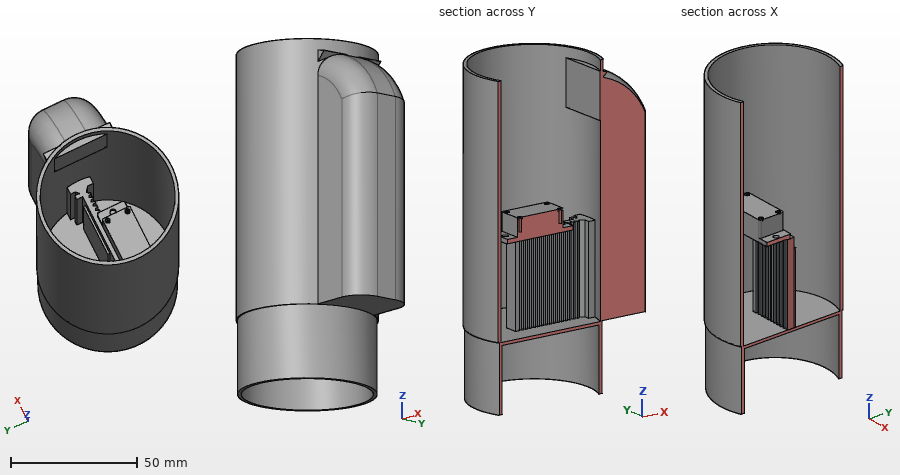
import cadquery as cq

WALL = 1.5
TUBE_R = 56.3 / 2
BORE_R = TUBE_R - WALL
SPIGOT_R = 55.3 / 2
SPIGOT_BORE_R = SPIGOT_R - WALL
SHOULDER_Z = 30.0
TOTAL_H = 138.0
TOTAL_L = 77.0

BOX_W = 29.2
BOX_HALF_W = BOX_W / 2
BOX_ROUND = 10.0
BOX_END_X = TOTAL_L - TUBE_R
BOX_START_X = 24.0
BOX_TOP_Z = 133.4
HOOD_END_Z = 112.8
HOOD_MID = (38.2, 126.75)
PLUG_BOTTOM_Z = 113.0
COLLAR_X = 28.0
COLLAR_TOP_Z = 132.6

PROFILE_H = 40.0
PROFILE_LEFT_X = -10.85
WEB_TOP_Y = 1.15
WEB_BOTTOM_Y = -1.05
POST_W = 1.75
POST_TOP_Y = 3.75
RIGHT_POST_X = 20.05
NECK_TOP_Y = 1.6
FLANGE_X = 23.1
FLANGE_HALF_W = 5.0
GUSSET_TOP_Y = 2.9
GUSSET_START_X = 21.35
GUSSET_END_Y = -2.55
FIN_TIP_Y = -2.4
FIN_PITCH = 1.96
FIN_GAP = 1.06
FIN_COUNT = 16
LAST_FIN_X = 19.9

STRIP_LEFT_X = -4.3
STRIP_L = 21.75
STRIP_T = 0.9
STRIP_H = 35.0

MODULE_X = -5.15
MODULE_Y = -6.65
MODULE_L = 32.25
MODULE_W = 12.15
MODULE_CORNER_R = 1.0
PLATE_T = 2.0
COVER_L = 22.55
COVER_H = 8.0
COVER_CORNER_R = 0.6
MOUNT_HOLE_D = 2.4
MOUNT_HOLE_SPACING = 27.8

SCREW_SPACING_X = 19.6
SCREW_SPACING_Y = 8.75
SCREW_POCKET_D = 2.0
SCREW_HEAD_D = 1.7
SCREW_HEAD_H = 0.8
SCREW_SHANK_D = 1.0
SCREW_L = 6.0
SOCKET_D = 0.5
SOCKET_DEPTH = 0.4

FLOOR_Z = SHOULDER_Z
PROFILE_TOP_Z = FLOOR_Z + PROFILE_H
COVER_TOP_Z = PROFILE_TOP_Z + PLATE_T + COVER_H


def cylinder(radius, bottom_z, top_z):
    return cq.Workplane("XY").workplane(offset=bottom_z).circle(radius).extrude(top_z - bottom_z)


def side_box():
    """Box with an arched hood; its outer edges are rounded all the way up and over."""
    box = (
        cq.Workplane("XZ")
        .moveTo(BOX_START_X, SHOULDER_Z)
        .lineTo(BOX_END_X, SHOULDER_Z)
        .lineTo(BOX_END_X, HOOD_END_Z)
        .threePointArc(HOOD_MID, (BOX_START_X, BOX_TOP_Z))
        .close()
        .extrude(BOX_HALF_W, both=True)
    )
    upright_mid_z = (SHOULDER_Z + HOOD_END_Z) / 2
    outer_edges = cq.selectors.BoxSelector(
        (BOX_START_X + 1, -BOX_W, upright_mid_z - 1), (BOX_END_X + 1, BOX_W, BOX_TOP_Z + 1)
    )
    box = box.faces("<Y or >Y").edges(outer_edges).fillet(BOX_ROUND)
    collar_depth = COLLAR_X - BOX_START_X
    collar = (
        cq.Workplane("XZ")
        .moveTo(BOX_START_X, COLLAR_TOP_Z - collar_depth)
        .lineTo(COLLAR_X, COLLAR_TOP_Z)
        .lineTo(BOX_START_X, BOX_TOP_Z)
        .close()
        .extrude(BOX_HALF_W, both=True)
    )
    return box.union(collar)


def make_housing():
    """Stepped tube with a floor at the shoulder; the box top reaches into the bore as a flat-faced plug."""
    outer = cylinder(SPIGOT_R, 0, TOTAL_H).union(cylinder(TUBE_R, SHOULDER_Z, TOTAL_H)).union(side_box())
    plug = (
        cq.Workplane("XY")
        .workplane(offset=PLUG_BOTTOM_Z)
        .center(BOX_START_X, -BOX_HALF_W)
        .rect(BOX_END_X - BOX_START_X, BOX_W, centered=False)
        .extrude(BOX_TOP_Z - PLUG_BOTTOM_Z)
    )
    bore = cylinder(BORE_R, FLOOR_Z, TOTAL_H).cut(plug)
    return outer.cut(bore).cut(cylinder(SPIGOT_BORE_R, 0, FLOOR_Z - WALL))


def make_profile():
    """Web with two posts, a wall flange and a row of fins with round-bottomed gaps."""
    outline = (
        cq.Workplane("XY")
        .workplane(offset=FLOOR_Z)
        .moveTo(PROFILE_LEFT_X, FIN_TIP_Y)
        .lineTo(PROFILE_LEFT_X, POST_TOP_Y)
        .lineTo(PROFILE_LEFT_X + POST_W, POST_TOP_Y)
        .lineTo(PROFILE_LEFT_X + POST_W, WEB_TOP_Y)
        .lineTo(RIGHT_POST_X, WEB_TOP_Y)
        .lineTo(RIGHT_POST_X, POST_TOP_Y)
        .lineTo(RIGHT_POST_X + POST_W, POST_TOP_Y)
        .lineTo(RIGHT_POST_X + POST_W, NECK_TOP_Y)
        .lineTo(FLANGE_X, GUSSET_TOP_Y)
        .lineTo(FLANGE_X, FLANGE_HALF_W)
        .lineTo(BORE_R, FLANGE_HALF_W)
        .lineTo(BORE_R, -FLANGE_HALF_W)
        .lineTo(FLANGE_X, -FLANGE_HALF_W)
        .lineTo(FLANGE_X, GUSSET_END_Y)
        .lineTo(GUSSET_START_X, WEB_BOTTOM_Y)
    )
    half_tip = (FIN_PITCH - FIN_GAP) / 2
    gap_root_y = WEB_BOTTOM_Y - FIN_GAP / 2
    outline = outline.lineTo(LAST_FIN_X + half_tip, gap_root_y)
    for fin in range(FIN_COUNT):
        fin_x = LAST_FIN_X - fin * FIN_PITCH
        outline = outline.lineTo(fin_x + half_tip, FIN_TIP_Y).lineTo(fin_x - half_tip, FIN_TIP_Y)
        if fin < FIN_COUNT - 1:
            outline = outline.lineTo(fin_x - half_tip, gap_root_y).threePointArc(
                (fin_x - FIN_PITCH / 2, WEB_BOTTOM_Y), (fin_x - half_tip - FIN_GAP, gap_root_y)
            )
    profile = outline.close().extrude(PROFILE_H)
    return profile.intersect(cylinder(BORE_R, FLOOR_Z, PROFILE_TOP_Z))


def make_strip():
    return (
        cq.Workplane("XY")
        .workplane(offset=FLOOR_Z)
        .moveTo(STRIP_LEFT_X, WEB_TOP_Y)
        .rect(STRIP_L, STRIP_T, centered=False)
        .extrude(STRIP_H)
    )


def screw_points():
    return [
        (MODULE_X + sx * SCREW_SPACING_X / 2, MODULE_Y + sy * SCREW_SPACING_Y / 2)
        for sx in (-1, 1)
        for sy in (-1, 1)
    ]


def make_module():
    center = cq.Workplane("XY").workplane(offset=PROFILE_TOP_Z).center(MODULE_X, MODULE_Y)
    plate = center.rect(MODULE_L, MODULE_W).extrude(PLATE_T).edges("|Z").fillet(MODULE_CORNER_R)
    cover = center.rect(COVER_L, MODULE_W).extrude(PLATE_T + COVER_H).edges("|Z").fillet(COVER_CORNER_R)
    mount_holes = center.rarray(MOUNT_HOLE_SPACING, 1, 2, 1).circle(MOUNT_HOLE_D / 2).extrude(PLATE_T)
    module = plate.union(cover).cut(mount_holes)
    for x, y in screw_points():
        pocket = cylinder(SCREW_POCKET_D / 2, COVER_TOP_Z - SCREW_HEAD_H, COVER_TOP_Z)
        shank_hole = cylinder(SCREW_SHANK_D / 2, COVER_TOP_Z - SCREW_L, COVER_TOP_Z)
        module = module.cut(pocket.union(shank_hole).translate((x, y, 0)))
    return module


def make_screw(x, y):
    """Socket head screw, its head flush with the cover top."""
    head = cylinder(SCREW_HEAD_D / 2, COVER_TOP_Z - SCREW_HEAD_H, COVER_TOP_Z)
    shank = cylinder(SCREW_SHANK_D / 2, COVER_TOP_Z - SCREW_L, COVER_TOP_Z - SCREW_HEAD_H)
    socket = cylinder(SOCKET_D / 2, COVER_TOP_Z - SOCKET_DEPTH, COVER_TOP_Z)
    return head.union(shank).cut(socket).translate((x, y, 0))


housing = make_housing()
profile = make_profile()
strip = make_strip()
module = make_module()
screws = [make_screw(x, y) for x, y in screw_points()]

result = cq.Compound.makeCompound(
    [housing.val(), profile.val(), strip.val(), module.val(), *[screw.val() for screw in screws]]
)